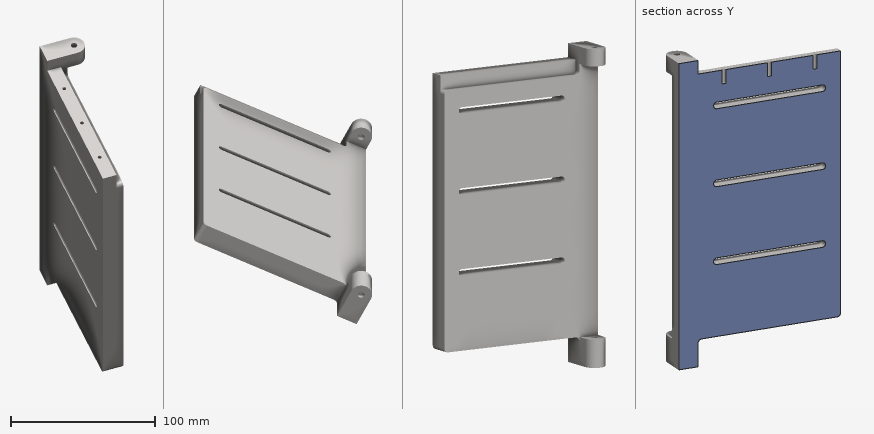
import cadquery as cq

height = 224.0
width = 125.0

spine_width = 15.0
spine_depth = 15.0
lug_reach = 30.0
upper_lug_height = 12.0
lower_lug_height = 20.0
lug_radius = spine_width / 2
hinge_y = lug_reach - lug_radius
hinge_hole_diameter = 4.5

panel_margin = lower_lug_height
corner_radius = 3.0

rail_depth = 10.0
rail_height = 10.0
rail_top = height - panel_margin + rail_height

rail_hole_diameter = 2.7
rail_hole_depth = rail_height
rail_hole_pitch = 35.0
rail_hole_count = 3

slot_length = 86.0
slot_height = 4.5
slot_center_x = 70.0
slot_pitch = 57.0
middle_slot_z = 132.0
slot_count = 3


def corner_block(size_x, size_y, size_z, x=0.0, z=0.0):
    """Box whose front left bottom corner is at (x, 0, z)."""
    return cq.Workplane("XY").box(size_x, size_y, size_z, centered=False).translate((x, 0, z))


def hinge_lug(bottom, lug_height):
    """Lug reaching back from the spine, with a round end about the hinge axis."""
    return (
        cq.Workplane("XY", origin=(0, 0, bottom))
        .lineTo(spine_width, 0)
        .lineTo(spine_width, hinge_y)
        .threePointArc((lug_radius, lug_reach), (0, hinge_y))
        .close()
        .extrude(lug_height)
    )


panel_height = height - 2 * panel_margin
spine = corner_block(spine_width, spine_depth, height)
panel = corner_block(width, spine_depth, panel_height, z=panel_margin)
body = spine.union(panel)
for z in (panel_margin, height - panel_margin):
    for x in (spine_width, width):
        corner = cq.selectors.NearestToPointSelector((x, spine_depth / 2, z))
        body = body.edges("|Y").edges(corner).fillet(corner_radius)

rail = corner_block(
    width - spine_width, rail_depth, 2 * rail_height, x=spine_width, z=rail_top - 2 * rail_height
)
body = body.union(rail)

body = body.union(hinge_lug(0, lower_lug_height))
body = body.union(hinge_lug(height - upper_lug_height, upper_lug_height))

hinge_hole = (
    cq.Workplane("XY")
    .center(lug_radius, hinge_y)
    .circle(hinge_hole_diameter / 2)
    .extrude(height)
)
body = body.cut(hinge_hole)

rail_holes = (
    cq.Workplane("XY", origin=((width + spine_width) / 2, rail_depth / 2, rail_top))
    .rarray(rail_hole_pitch, 2.2, rail_hole_count, 1)
    .circle(rail_hole_diameter / 2)
    .extrude(-rail_hole_depth)
)
body = body.cut(rail_holes)

slots = (
    cq.Workplane("XZ", origin=(slot_center_x, 0, middle_slot_z))
    .rarray(2.2, slot_pitch, 1, slot_count)
    .slot2D(slot_length, slot_height)
    .extrude(-spine_depth)
)
result = body.cut(slots)